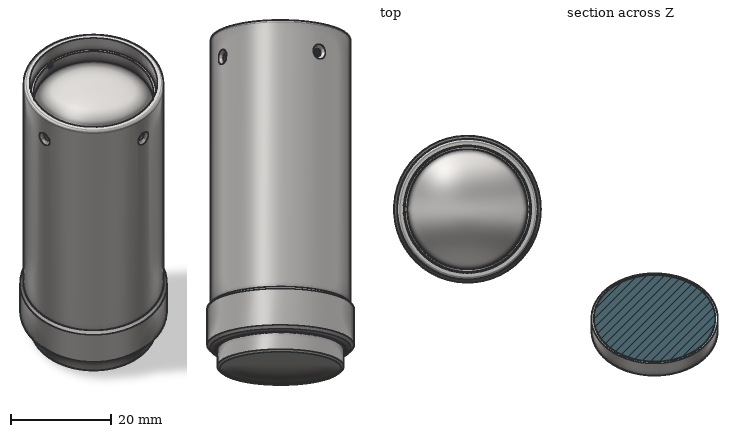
import cadquery as cq
import math

total_height = 68.5
collar_top = 13.0
collar_bottom = 4.25
neck_top = 3.9

barrel_diameter = 28.0
collar_diameter = 29.4
neck_diameter = 25.3
neck_relief_diameter = 24.3

rim_fillet = 0.5
collar_chamfer = 0.6
neck_chamfer_height = 0.4

bore_diameter = 25.5
sleeve_diameter = 25.0
lens_diameter = 24.0
sleeve_depth = 3.0
lens_edge_depth = 5.8
lens_radius = 20.0
sleeve_gap_depth = 8.2

slot_count = 2
slot_width = 1.0
slot_depth = 1.0

screw_count = 4
screw_depth = 6.0
screw_mouth_diameter = 3.0
screw_hole_diameter = 1.6
screw_cone_depth = (screw_mouth_diameter - screw_hole_diameter) / 2
groove_center_depth = 5.8
groove_half_width = 0.4


def make_body():
    """Turn the solid outer shape: neck, relief, collar and barrel."""
    barrel = barrel_diameter / 2
    collar = collar_diameter / 2
    neck = neck_diameter / 2
    relief = neck_relief_diameter / 2
    profile = [
        (0, 0),
        (relief, 0),
        (neck, neck_chamfer_height),
        (neck, neck_top),
        (relief, neck_top),
        (relief, collar_bottom),
        (collar - collar_chamfer, collar_bottom),
        (collar, collar_bottom + collar_chamfer),
        (collar, collar_top - collar_chamfer),
        (collar - collar_chamfer, collar_top),
        (barrel, collar_top),
        (barrel, total_height),
        (0, total_height),
    ]
    body = cq.Workplane("XZ").polyline(profile).close().revolve(360, (0, 0), (0, 1))
    return body.edges(">Z").fillet(rim_fillet)


def make_opening():
    """Space above the sleeve and the domed lens, bounded below by the lens."""
    bore = bore_diameter / 2
    lens = lens_diameter / 2
    sleeve_top = total_height - sleeve_depth
    lens_edge = total_height - lens_edge_depth
    sphere_center = lens_edge - math.sqrt(lens_radius**2 - lens**2)
    half_angle = math.asin(lens / lens_radius) / 2
    arc_middle = (
        lens_radius * math.sin(half_angle),
        sphere_center + lens_radius * math.cos(half_angle),
    )
    apex = (0, sphere_center + lens_radius)
    return (
        cq.Workplane("XZ")
        .moveTo(0, total_height)
        .lineTo(bore, total_height)
        .lineTo(bore, sleeve_top)
        .lineTo(lens, sleeve_top)
        .lineTo(lens, lens_edge)
        .threePointArc(arc_middle, apex)
        .close()
        .revolve(360, (0, 0), (0, 1))
    )


def make_gap():
    """Narrow gap around the sleeve, with the V-groove that faces the set screw holes."""
    bore = bore_diameter / 2
    sleeve = sleeve_diameter / 2
    groove_height = total_height - groove_center_depth
    sleeve_top = total_height - sleeve_depth
    gap_bottom = total_height - sleeve_gap_depth
    profile = [
        (bore, gap_bottom),
        (bore, sleeve_top),
        (sleeve, sleeve_top),
        (sleeve, groove_height + groove_half_width),
        (sleeve - groove_half_width, groove_height),
        (sleeve, groove_height - groove_half_width),
        (sleeve, gap_bottom),
    ]
    return cq.Workplane("XZ").polyline(profile).close().revolve(360, (0, 0), (0, 1))


def make_slot():
    """Spanner slot across the top of the sleeve wall, on the +X side."""
    sleeve_top = total_height - sleeve_depth
    inner_reach = (lens_diameter - slot_width) / 2
    outer_reach = (bore_diameter + sleeve_diameter) / 4
    return (
        cq.Workplane("XY", origin=((inner_reach + outer_reach) / 2, 0, sleeve_top))
        .rect(outer_reach - inner_reach, slot_width)
        .extrude(-slot_depth)
    )


def make_screw_hole():
    """Countersunk hole through the barrel wall into the gap, opening outward along X."""
    gap_middle = (bore_diameter + sleeve_diameter) / 4
    mouth = barrel_diameter / 2
    hole_radius = screw_hole_diameter / 2
    mouth_radius = screw_mouth_diameter / 2
    profile = [
        (gap_middle, 0),
        (gap_middle, hole_radius),
        (mouth - screw_cone_depth, hole_radius),
        (mouth, mouth_radius),
        (collar_diameter / 2, mouth_radius),
        (collar_diameter / 2, 0),
    ]
    hole = cq.Workplane("XZ").polyline(profile).close().revolve(360, (0, 0), (1, 0))
    return hole.translate((0, 0, total_height - screw_depth))


def cut_around(body, tool, count):
    """Cut equally spaced copies of the tool around the Z axis."""
    for number in range(count):
        body = body.cut(tool.rotate((0, 0, 0), (0, 0, 1), number * 360 / count))
    return body


result = make_body().cut(make_opening()).cut(make_gap())
result = cut_around(result, make_slot(), slot_count)
result = cut_around(result, make_screw_hole(), screw_count)